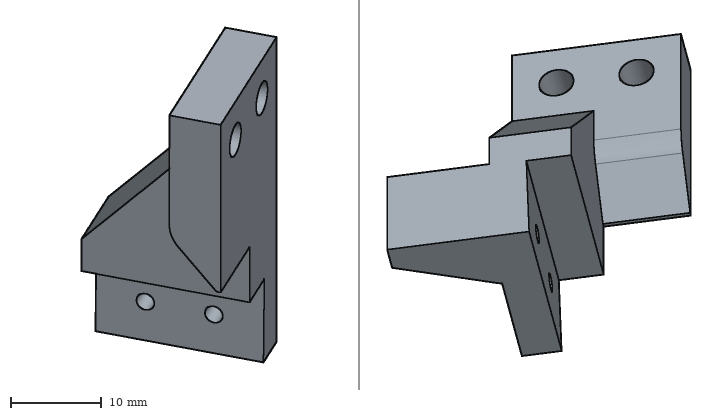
import cadquery as cq
import math

width = 19.65
depth = 30.5
height = 40.0

plate_thickness = 6.0
plate_depth = 19.0
plate_bottom = 18.0
plate_bottom_land = 0.5
plate_fillet = 4.0
plate_left = width - plate_thickness

arm_depth = 9.2
arm_bottom = 10.75
arm_side_top = 14.95
arm_slope_top = 30.05
arm_slope = (arm_slope_top - arm_side_top) / plate_left

base_height = 11.0
base_bottom_depth = 4.5
base_top_depth = 4.15
tail_root_width = 7.75
tail_end_width = 3.0

plate_hole_diameter = 3.9
plate_hole_inset = 5.0
plate_hole_pitch = 9.0
base_hole_diameter = 2.1
base_hole_x = 5.8
base_hole_pitch = 8.0
base_hole_z = 5.0


def make_plate():
    """Plate whose lower edge runs parallel to the arm slope, blended into its left face."""
    corner_z = plate_bottom + (plate_thickness - plate_bottom_land) * arm_slope
    slope_angle = math.atan2(1, arm_slope)
    tangent_length = plate_fillet * math.tan(slope_angle / 2)
    arc_start = (plate_left, corner_z + tangent_length)
    arc_end = (
        plate_left + tangent_length * math.sin(slope_angle),
        corner_z - tangent_length * math.cos(slope_angle),
    )
    return (
        cq.Workplane("XZ", origin=(0, plate_depth, 0))
        .moveTo(width, height)
        .lineTo(plate_left, height)
        .lineTo(*arc_start)
        .radiusArc(arc_end, -plate_fillet)
        .lineTo(width - plate_bottom_land, plate_bottom)
        .lineTo(width, plate_bottom)
        .close()
        .extrude(plate_depth)
    )


def make_arm():
    """Diagonal arm, flush with the back of the plate."""
    outline = [
        (0, arm_bottom),
        (width, arm_bottom),
        (width, arm_slope_top),
        (plate_left, arm_slope_top),
        (0, arm_side_top),
    ]
    return cq.Workplane("XZ", origin=(0, plate_depth, 0)).polyline(outline).close().extrude(arm_depth)


def make_base():
    """Full-width block below the arm, with the tapered tail behind it."""
    block_outline = [
        (plate_depth - base_bottom_depth, 0),
        (plate_depth, 0),
        (plate_depth, base_height),
        (plate_depth - base_top_depth, base_height),
    ]
    block = cq.Workplane("YZ").polyline(block_outline).close().extrude(width)
    tail_outline = [
        (0, plate_depth),
        (tail_root_width, plate_depth),
        (tail_end_width, depth),
        (0, depth),
    ]
    tail = cq.Workplane("XY").polyline(tail_outline).close().extrude(base_height)
    return block.union(tail)


def make_plate_holes():
    """Two holes through the plate along X."""
    first_y = plate_depth - plate_hole_inset
    hole_z = height - plate_hole_inset
    centers = [(first_y, hole_z), (first_y - plate_hole_pitch, hole_z)]
    return cq.Workplane("YZ").pushPoints(centers).circle(plate_hole_diameter / 2).extrude(width)


def make_base_holes():
    """Two holes through the base along Y."""
    centers = [(base_hole_x, base_hole_z), (base_hole_x + base_hole_pitch, base_hole_z)]
    return (
        cq.Workplane("XZ", origin=(0, depth, 0))
        .pushPoints(centers)
        .circle(base_hole_diameter / 2)
        .extrude(depth)
    )


body = make_plate().union(make_arm()).union(make_base())
result = body.cut(make_plate_holes()).cut(make_base_holes())